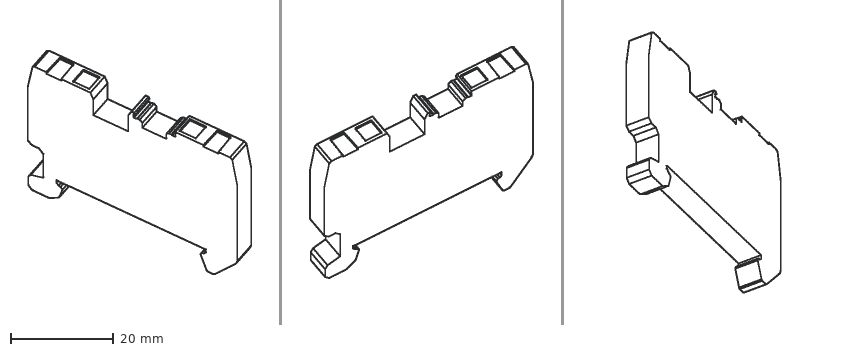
import cadquery as cq

length = 48.8
thickness = 5.2
height = 35.4
center_x = length / 2

shoulder_z = 28.65
shoulder_inset = 1.1
chamfer_width = 0.55
chamfer_depth = 0.4
rail_seat_z = 6.0
tool_notch_z = 29.4
marker_notch_z = 32.25
ledge_z = 34.15
groove_z = 34.0
lip_z = 34.95
lip_root_z = 34.75

recess_depth = 0.45
square_size = 3.8
square_offset = 12.4
square_front_y = 0.75
slot_offset = 18.3
slot_front_width = 3.5
slot_back_width = 3.2
slot_back_y = 4.8

left_shoulder = [
    (0, shoulder_z),
    (shoulder_inset, height - chamfer_depth),
    (shoulder_inset + chamfer_width, height),
]
tool_notch = [
    (14.65, height),
    (15.3, 33.85),
    (15.3, tool_notch_z),
    (23.4, tool_notch_z),
    (23.4, 33.85),
    (24.15, height),
]
marker_notch = [
    (24.85, height),
    (25.1, lip_z),
    (24.65, lip_root_z),
    (24.65, ledge_z),
    (24.8, groove_z),
    (25.42, groove_z),
    (25.55, ledge_z),
    (26.1, ledge_z),
    (26.75, 33.6),
    (26.75, marker_notch_z),
    (32.3, marker_notch_z),
    (32.3, 33.6),
    (33.0, ledge_z),
    (33.5, ledge_z),
    (33.65, groove_z),
    (34.4, groove_z),
    (34.4, lip_root_z),
    (34.05, lip_z),
    (34.4, height),
]
right_shoulder = [
    (length - shoulder_inset - chamfer_width, height),
    (length - shoulder_inset, height - chamfer_depth),
    (length, shoulder_z),
]
right_foot = [
    (length, 6.8),
    (48.5, 5.95),
    (43.7, 0.3),
    (43.35, 0),
    (41.9, 0),
    (41.68, 0.25),
    (40.25, 3.95),
    (40.55, 4.65),
    (41.05, 4.65),
    (41.5, 5.08),
    (41.5, rail_seat_z),
]
left_foot = [
    (6.75, rail_seat_z),
    (6.75, 5.3),
    (7.2, 4.8),
    (7.65, 4.65),
    (8.15, 4.15),
    (7.3, 1.4),
    (5.1, 0),
    (1.05, 0),
    (0.15, 0.95),
    (0.15, 3.3),
    (0.75, 4.15),
    (3.65, 5.0),
    (3.65, 11.7),
    (2.65, 12.75),
    (1.02, 12.75),
    (0, 13.55),
]


def make_body():
    """Extrude the profile across the thickness."""
    outline = left_shoulder + tool_notch + marker_notch + right_shoulder + right_foot + left_foot
    return cq.Workplane("XZ").polyline(outline).close().extrude(-thickness)


def make_square_recess(x):
    """Closed square pocket centered at x."""
    return (
        cq.Workplane("XY", origin=(x, square_front_y + square_size / 2, height))
        .rect(square_size, square_size)
        .extrude(-recess_depth)
    )


def make_tapered_slot(x):
    """Pocket centered at x, open at the front face and narrowing to the back."""
    return (
        cq.Workplane("XY", origin=(x, 0, height))
        .polyline([
            (-slot_front_width / 2, 0),
            (slot_front_width / 2, 0),
            (slot_back_width / 2, slot_back_y),
            (-slot_back_width / 2, slot_back_y),
        ])
        .close()
        .extrude(-recess_depth)
    )


result = make_body()
for side in (-1, 1):
    result = result.cut(make_square_recess(center_x + side * square_offset))
    result = result.cut(make_tapered_slot(center_x + side * slot_offset))